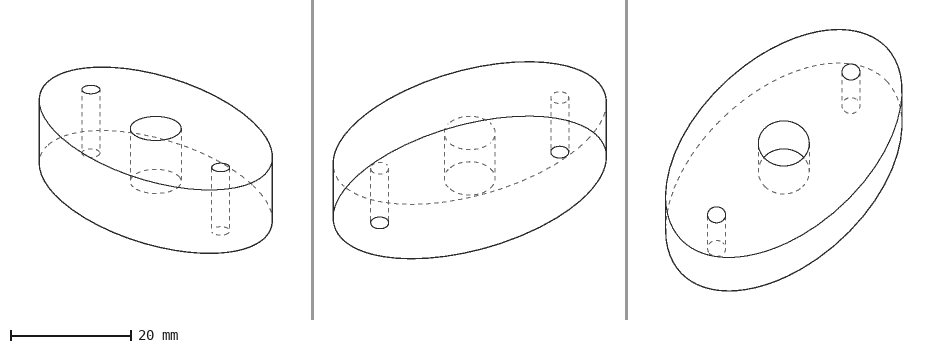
import cadquery as cq

length = 50.0
width = 30.0
height = 12.0

bore_diameter = 8.5
floor_thickness = 2.0
bore_depth = height - floor_thickness

hole_diameter = 3.0
hole_spacing = 35.0


def make_body():
    """Elliptical block standing on the XY plane."""
    return cq.Workplane("XY").ellipse(length / 2, width / 2).extrude(height)


def cut_central_bore(body):
    """Cut the flat-bottomed bore down from the top face."""
    return body.faces(">Z").workplane(origin=(0, 0, height)).hole(bore_diameter, bore_depth)


def cut_through_holes(body):
    """Cut the two holes placed symmetrically along X."""
    centres = [(-hole_spacing / 2, 0), (hole_spacing / 2, 0)]
    return (
        body.faces(">Z")
        .workplane(origin=(0, 0, height))
        .pushPoints(centres)
        .hole(hole_diameter)
    )


result = cut_through_holes(cut_central_bore(make_body()))